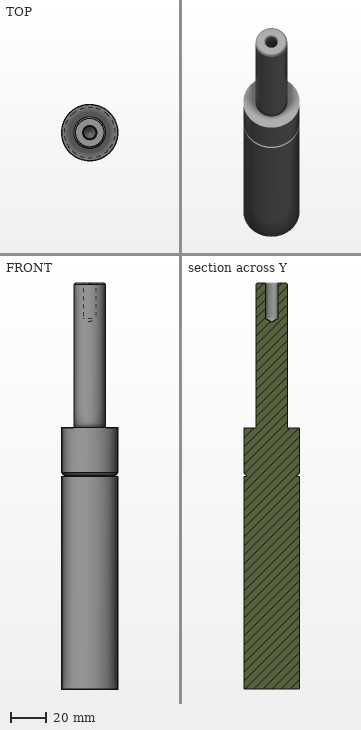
import cadquery as cq
import math

total_height = 230.0
body_diameter = 32.0
rod_diameter = 18.0
body_height = 148.1
rod_chamfer = 1.0

groove_bottom = 120.5
groove_height = 2.0
groove_depth = 1.5
neck_height = groove_height - groove_depth

hole_diameter = 7.0
hole_mouth_diameter = 8.0
hole_depth = 20.0
countersink_angle = 90.0
drill_tip_angle = 118.0

body_radius = body_diameter / 2
rod_radius = rod_diameter / 2


def make_body():
    """Cylinder with a groove, turned about the Z axis."""
    neck_radius = body_radius - groove_depth
    profile = (
        cq.Workplane("XZ")
        .lineTo(body_radius, 0)
        .lineTo(body_radius, groove_bottom)
        .lineTo(neck_radius, groove_bottom)
        .lineTo(neck_radius, groove_bottom + neck_height)
        .lineTo(body_radius, groove_bottom + groove_height)
        .lineTo(body_radius, body_height)
        .lineTo(0, body_height)
        .close()
    )
    return profile.revolve(360, (0, 0, 0), (0, 1, 0))


def make_rod():
    """Plain rod with a chamfered free end."""
    return (
        cq.Workplane("XY")
        .workplane(offset=body_height)
        .circle(rod_radius)
        .extrude(total_height - body_height)
        .faces(">Z")
        .edges()
        .chamfer(rod_chamfer)
    )


def make_drill_tip():
    """Cone at the bottom of the blind hole."""
    tip_radius = hole_diameter / 2
    tip_length = tip_radius / math.tan(math.radians(drill_tip_angle / 2))
    tip_top = total_height - hole_depth
    return cq.Workplane(
        cq.Solid.makeCone(
            tip_radius, 0, tip_length, pnt=cq.Vector(0, 0, tip_top), dir=cq.Vector(0, 0, -1)
        )
    )


result = (
    make_body()
    .union(make_rod())
    .faces(">Z")
    .workplane(origin=(0, 0, total_height))
    .cskHole(hole_diameter, hole_mouth_diameter, countersink_angle, hole_depth)
    .cut(make_drill_tip())
)